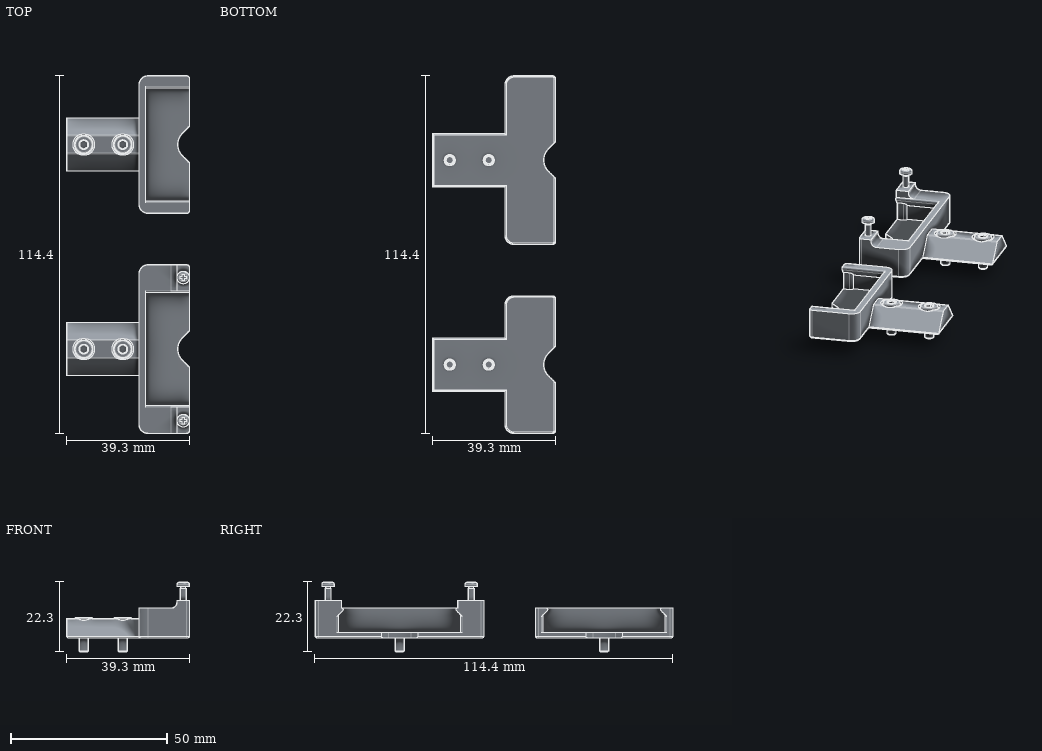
import cadquery as cq
import math


bracket_x = 23.1
bracket_width = 16.2
bracket_right = bracket_x + bracket_width
base_z = 4.5
wall_height = 9.6
wall_top = base_z + wall_height
short_length = 44.0
long_length = 54.0
overall_length = 114.4
back_corner_radius = 3.0
front_corner_radius = 1.0
bottom_chamfer = 0.5

pocket_x = bracket_x + 2.1
pocket_length = bracket_right - pocket_x
floor_z = base_z + 1.7
opening_half = 18.5
lip_radius = 0.5
lip_half = opening_half - lip_radius
pad_depth = 1.5
pad_half = lip_half + pad_depth
pad_length = 2.2
pad_end_radius = 0.5
recess_step = 1.0
recess_half = pad_half + recess_step
notch_radius = 5.0
notch_depth = 3.8

tower_top = base_z + 12.0
tower_length = 4.1
tower_fillet = 1.8

rail_height = 6.2
rail_top = base_z + rail_height
rail_top_half = 2.92
rail_side_height = 0.6
rail_side_half = rail_top_half + rail_height - rail_side_height
rail_edge_fillet = 0.6

cap_first_x = 5.5
cap_pitch = 12.5
cap_head_diameter = 5.5
cap_head_height = 3.0
cap_head_edge = 0.2
cap_shaft_diameter = 3.0
cap_shaft_length = 8.0
cap_tip_chamfer = 0.3
hex_across_flats = 2.5
hex_depth = 1.5
hex_mouth_diameter = 3.1
bore_diameter = 6.0
bore_chamfer = 0.5
clearance_diameter = 3.5

screw_top = 22.3
screw_x = bracket_right - tower_length / 2
screw_end_offset = 4.1
screw_head_diameter = 4.0
screw_head_height = 1.4
screw_head_fillet = 0.67
neck_diameter = 1.6
neck_length = 0.7
screw_shaft_diameter = 2.0
screw_depth = 3.4
cross_length = 2.1
cross_width = 0.7
cross_depth = 0.8

long_y = long_length / 2
short_y = overall_length - short_length / 2
cap_xs = [cap_first_x, cap_first_x + cap_pitch]
long_screw_ys = [screw_end_offset, long_length - screw_end_offset]


def box(x_min, x_max, y_min, y_max, z_min, z_max):
    return cq.Workplane("XY").box(
        x_max - x_min, y_max - y_min, z_max - z_min, centered=False
    ).translate((x_min, y_min, z_min))


def cylinder(x, y, z_min, z_max, diameter):
    return cq.Workplane("XY", origin=(x, y, z_min)).circle(diameter / 2).extrude(z_max - z_min)


def rail():
    """Trapezoidal bar along X, centred on Y = 0, with its screw holes."""
    bar = (
        cq.Workplane("YZ")
        .polyline([
            (-rail_side_half, base_z),
            (rail_side_half, base_z),
            (rail_side_half, base_z + rail_side_height),
            (rail_top_half, rail_top),
            (-rail_top_half, rail_top),
            (-rail_side_half, base_z + rail_side_height),
        ])
        .close()
        .extrude(bracket_x + 1.1)
    )
    bar = bar.faces(">Z").edges("|X").fillet(rail_edge_fillet)
    for x in cap_xs:
        bar = counterbored(bar, x)
    return bar


def counterbored(bar, x):
    """The bar with one screw hole, its counterbore chamfered where it breaks the top and flanks."""
    bar = bar.cut(cylinder(x, 0, cap_shaft_length, rail_top, bore_diameter))
    bar = bar.cut(cylinder(x, 0, base_z, cap_shaft_length, clearance_diameter))
    reach = bore_diameter / 2 + bore_chamfer
    rim = cq.selectors.BoxSelector(
        (x - reach, -reach, rail_top - bore_chamfer),
        (x + reach, reach, rail_top + bore_chamfer),
    )
    return bar.edges(rim).chamfer(bore_chamfer)


def tray(length, height):
    """Outer block with rounded vertical corners, centred on Y = 0."""
    block = box(bracket_x, bracket_right, -length / 2, length / 2, base_z, base_z + height)
    block = block.edges("|Z and <X").fillet(back_corner_radius)
    return block.edges("|Z and >X").fillet(front_corner_radius)


def pocket_section():
    """Pocket along X whose walls lean out at 45 degrees under a rounded lip."""
    lip_z = wall_top - lip_radius
    diagonal = lip_radius * math.cos(math.radians(45))
    arc_end_y = opening_half - diagonal
    arc_end_z = lip_z - diagonal
    recess_top = arc_end_z - (recess_half - arc_end_y)
    return (
        cq.Workplane("YZ", origin=(pocket_x, 0, 0))
        .moveTo(-recess_half, floor_z)
        .lineTo(recess_half, floor_z)
        .lineTo(recess_half, recess_top)
        .lineTo(arc_end_y, arc_end_z)
        .threePointArc((lip_half, lip_z), (opening_half, wall_top))
        .lineTo(opening_half, tower_top)
        .lineTo(-opening_half, tower_top)
        .lineTo(-opening_half, wall_top)
        .threePointArc((-lip_half, lip_z), (-arc_end_y, arc_end_z))
        .lineTo(-recess_half, recess_top)
        .close()
        .extrude(pocket_length)
    )


def pocket_plan():
    """Plan of the pocket: a rounded step narrows it to the pads beside its open end."""
    step_x = bracket_right - pad_length
    flare_x = bracket_right - pad_end_radius
    flare_y = pad_half + pad_end_radius
    return (
        cq.Workplane("XY", origin=(0, 0, floor_z))
        .moveTo(pocket_x, -recess_half)
        .lineTo(step_x - recess_step, -recess_half)
        .radiusArc((step_x, -pad_half), recess_step)
        .lineTo(flare_x, -pad_half)
        .radiusArc((bracket_right, -flare_y), pad_end_radius)
        .lineTo(bracket_right, flare_y)
        .radiusArc((flare_x, pad_half), pad_end_radius)
        .lineTo(step_x, pad_half)
        .radiusArc((step_x - recess_step, recess_half), recess_step)
        .lineTo(pocket_x, recess_half)
        .close()
        .extrude(tower_top - floor_z)
    )


def pocket():
    return pocket_section().intersect(pocket_plan())


def floor_notch():
    """Rounded cut-out in the open edge of the floor."""
    tip_x = bracket_right - notch_depth
    tangent_x = tip_x + notch_radius * (1 - math.cos(math.radians(45)))
    tangent_y = notch_radius * math.sin(math.radians(45))
    mouth_y = tangent_y + bracket_right - tangent_x
    return (
        cq.Workplane("XY", origin=(0, 0, base_z))
        .moveTo(bracket_right, -mouth_y)
        .lineTo(tangent_x, -tangent_y)
        .threePointArc((tip_x, 0), (tangent_x, tangent_y))
        .lineTo(bracket_right, mouth_y)
        .close()
        .extrude(floor_z - base_z)
    )


def tower_step(length):
    """Material above the wall tops, removed up to the concave foot of the towers."""
    tower_x = bracket_right - tower_length
    arc_z = wall_top + tower_fillet
    diagonal = tower_fillet * math.cos(math.radians(45))
    return (
        cq.Workplane("XZ", origin=(0, length / 2, 0))
        .moveTo(bracket_x, wall_top)
        .lineTo(tower_x - tower_fillet, wall_top)
        .threePointArc((tower_x - tower_fillet + diagonal, arc_z - diagonal), (tower_x, arc_z))
        .lineTo(tower_x, tower_top)
        .lineTo(bracket_x, tower_top)
        .close()
        .extrude(length)
    )


def bracket(length, height):
    body = tray(length, height).union(rail())
    body = body.faces("<Z").wires(cq.selectors.LengthNthSelector(-1)).edges().chamfer(bottom_chamfer)
    body = body.cut(pocket())
    return body.cut(floor_notch())


def short_bracket():
    return bracket(short_length, wall_height).translate((0, short_y, 0))


def long_bracket():
    body = bracket(long_length, tower_top - base_z).cut(tower_step(long_length))
    body = body.translate((0, long_y, 0))
    for y in long_screw_ys:
        body = body.cut(cylinder(screw_x, y, tower_top - screw_depth, tower_top, screw_shaft_diameter))
    return body


def cap_screw(x, y):
    head_top = cap_shaft_length + cap_head_height
    head = cylinder(x, y, cap_shaft_length, head_top, cap_head_diameter)
    head = head.faces(">Z").edges().fillet(cap_head_edge)
    shaft = cylinder(x, y, 0, cap_shaft_length, cap_shaft_diameter)
    shaft = shaft.faces("<Z").edges().chamfer(cap_tip_chamfer)
    hex_across_corners = hex_across_flats / math.cos(math.radians(30))
    socket = (
        cq.Workplane("XY")
        .polygon(6, hex_across_corners)
        .extrude(hex_depth)
        .rotate((0, 0, 0), (0, 0, 1), 30)
        .translate((x, y, head_top - hex_depth))
    )
    mouth_depth = (hex_mouth_diameter - hex_across_flats) / 2
    mouth = cq.Workplane(cq.Solid.makeCone(
        hex_across_flats / 2, hex_mouth_diameter / 2, mouth_depth, cq.Vector(x, y, head_top - mouth_depth)
    ))
    return head.union(shaft).cut(socket).cut(mouth)


def cross_recess_screw(y):
    head_bottom = screw_top - screw_head_height
    neck_bottom = head_bottom - neck_length
    head = cylinder(screw_x, y, head_bottom, screw_top, screw_head_diameter)
    head = head.faces(">Z").edges().fillet(screw_head_fillet)
    neck = cylinder(screw_x, y, neck_bottom, head_bottom, neck_diameter)
    shaft = cylinder(screw_x, y, tower_top - screw_depth, neck_bottom, screw_shaft_diameter)
    screw = head.union(neck).union(shaft)
    for slot_x, slot_y in [(cross_length, cross_width), (cross_width, cross_length)]:
        slot = cq.Workplane("XY", origin=(screw_x, y, screw_top)).rect(slot_x, slot_y).extrude(-cross_depth)
        screw = screw.cut(slot)
    return screw


cap_screws = [cap_screw(x, y) for y in (short_y, long_y) for x in cap_xs]
cross_screws = [cross_recess_screw(y) for y in long_screw_ys]

result = cq.Compound.makeCompound([
    short_bracket().val(),
    long_bracket().val(),
    *[screw.val() for screw in cap_screws],
    *[screw.val() for screw in cross_screws],
])